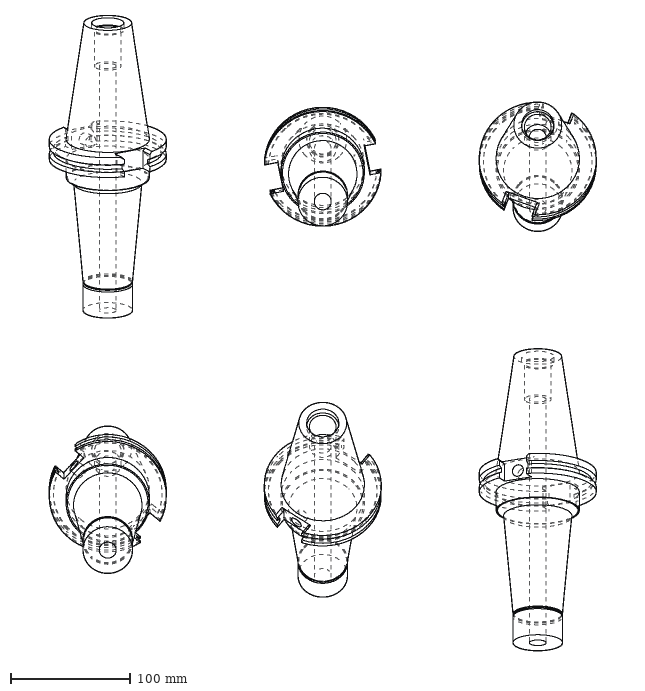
import cadquery as cq

total_height = 254
gauge_height = 152.5
flange_top = 151.1
flange_bottom = 133.5
collar_bottom = 117.3
neck_top = 112.5
nose_groove_top = 25.5
nose_groove_bottom = 24.5
nose_shoulder = 23.0

flange_diameter = 98.3
flange_radius = flange_diameter / 2
collar_diameter = 69.8
collar_radius = collar_diameter / 2
collar_edge_radius = 33.8
neck_top_radius = 28.7
neck_bottom_radius = 20.8
nose_radius = neck_bottom_radius
nose_groove_radius = 20.0
drive_taper = 7 / 24
taper_end_radius = collar_radius - (total_height - gauge_height) * drive_taper / 2

v_groove_top = 144.8
v_groove_bottom = 138.2
v_groove_depth = 3.5
v_groove_flank_height = 1.5
v_groove_floor_radius = flange_radius - v_groove_depth

counterbore_radius = 13.5
counterbore_depth = 6.4
thread_bore_radius = 11.2
thread_bore_depth = 38
coolant_hole_radius = 7.0

plug_slot_wall = 37.8
plain_slot_wall = 36.0
slot_width = 25.1
slot_chamfer = 2.3
plug_radius = 5.0
plug_length = 10.2
plug_drop = 1.3
plug_height = (flange_top + flange_bottom) / 2 - plug_drop


def revolved_blank():
    """Outer shape of the holder, revolved around Z."""
    outline = [
        (0, 0),
        (nose_radius, 0),
        (nose_radius, nose_shoulder),
        (nose_groove_radius, nose_groove_bottom),
        (nose_groove_radius, nose_groove_top),
        (neck_bottom_radius, nose_groove_top),
        (neck_top_radius, neck_top),
        (collar_edge_radius, collar_bottom),
        (collar_radius, collar_bottom),
        (collar_radius, flange_bottom),
        (flange_radius, flange_bottom),
        (flange_radius, v_groove_bottom),
        (v_groove_floor_radius, v_groove_bottom + v_groove_flank_height),
        (v_groove_floor_radius, v_groove_top - v_groove_flank_height),
        (flange_radius, v_groove_top),
        (flange_radius, flange_top),
        (collar_radius, flange_top),
        (collar_radius, gauge_height),
        (taper_end_radius, total_height),
        (0, total_height),
    ]
    return cq.Workplane("XZ").polyline(outline).close().revolve(360, (0, 0), (0, 1))


def bore_step(radius, depth):
    """Cylinder reaching down from the end of the taper."""
    return cq.Workplane("XY").workplane(offset=total_height - depth).circle(radius).extrude(depth)


def drive_slot(side, wall):
    """Slot cutter with flared upper edges; side is -1 or 1 along X, wall is its distance from the axis."""
    half = slot_width / 2
    flared_half = half + slot_chamfer
    section = [
        (-half, flange_bottom),
        (half, flange_bottom),
        (half, flange_top - slot_chamfer),
        (flared_half, flange_top),
        (-flared_half, flange_top),
        (-half, flange_top - slot_chamfer),
    ]
    return (
        cq.Workplane("YZ", origin=(side * wall, 0, 0))
        .polyline(section)
        .close()
        .extrude(side * flange_radius)
    )


def make_plug():
    """Round plug flush with the slot wall on the -X side."""
    return (
        cq.Workplane("YZ", origin=(-plug_slot_wall, 0, plug_height))
        .circle(plug_radius)
        .extrude(plug_length)
    )


def make_holder(plug):
    """Tool holder with its bore, drive slots and a matching recess for the plug."""
    body = revolved_blank()
    body = body.cut(bore_step(counterbore_radius, counterbore_depth))
    body = body.cut(bore_step(thread_bore_radius, thread_bore_depth))
    body = body.cut(bore_step(coolant_hole_radius, total_height))
    for side, wall in ((-1, plug_slot_wall), (1, plain_slot_wall)):
        body = body.cut(drive_slot(side, wall))
    return body.cut(plug)


plug = make_plug()
holder = make_holder(plug)

result = cq.Compound.makeCompound([holder.val(), plug.val()])